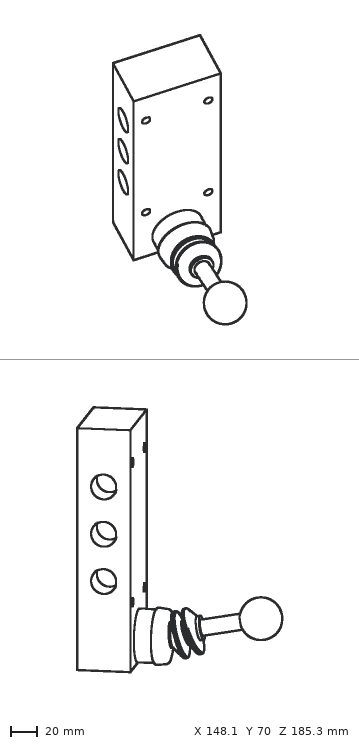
import cadquery as cq
import math


block_depth = 40.0
block_width = 70.0
block_height = 184.0

middle_height = 104.1
mount_diameter = 6.5
mount_spacing_y = 50.0
mount_spacing_z = 106.2
port_diameter = 18.9
port_depth = 24.0
port_pitch = 36.0
front_port_count = 3
rear_port_count = 2

sleeve_radius = 20.0
axis_height = sleeve_radius
collar_back = 52.8
collar_front = 63.7
collar_radius = 21.3
collar_taper = 0.7
collar_back_round = 1.9
collar_front_round = 2.6

lever_tilt = 11.0
lever_radius = 6.1
ball_radius = 16.0
ball_x = 132.1
ball_z = 36.5

valley_radius = 9.6
crest_radius = 18.0
cuff_radius = 9.0
valley_width = 1.3
crest_width = 3.0
crest_bevel = 0.7
cuff_width = 2.5
cuff_x = 86.5


def lever_height(x):
    """Height of the tilted lever axis at a given X."""
    return ball_z - (ball_x - x) * math.tan(math.radians(lever_tilt))


crest_outline = [
    (-crest_width / 2, crest_radius - crest_bevel),
    (crest_bevel - crest_width / 2, crest_radius),
    (crest_width / 2 - crest_bevel, crest_radius),
    (crest_width / 2, crest_radius - crest_bevel),
]
valley_outline = [(-valley_width / 2, valley_radius), (valley_width / 2, valley_radius)]
cuff_outline = [(-cuff_width / 2, cuff_radius), (cuff_width / 2, cuff_radius)]

bellows_bands = [
    (65.0, 21.5, 5.0, valley_outline),
    (71.5, 21.9, 16.5, crest_outline),
    (76.3, 23.5, 20.0, valley_outline),
    (81.0, 24.8, 22.5, crest_outline),
    (cuff_x, lever_height(cuff_x), lever_tilt, cuff_outline),
]


def direction(tilt):
    """Unit vector along +X, raised towards +Z by the tilt angle."""
    angle = math.radians(tilt)
    return cq.Vector(math.cos(angle), 0, math.sin(angle))


def make_block():
    return cq.Workplane("XY").box(
        block_depth, block_width, block_height, centered=(False, True, False)
    )


def make_mount_holes():
    return (
        cq.Workplane("YZ")
        .center(0, middle_height)
        .rarray(mount_spacing_y, mount_spacing_z, 2, 2)
        .circle(mount_diameter / 2)
        .extrude(block_depth)
    )


def make_ports(side, count):
    """Row of blind ports in the -Y (side = -1) or +Y (side = 1) face."""
    row = cq.Workplane("XY")
    for index in range(count):
        height = middle_height + (index - (count - 1) / 2) * port_pitch
        mouth = cq.Vector(block_depth / 2, side * block_width / 2, height)
        inward = cq.Vector(0, -side, 0)
        row = row.add(cq.Solid.makeCylinder(port_diameter / 2, port_depth, mouth, inward))
    return row.combine()


def make_sleeve():
    return (
        cq.Workplane("YZ", origin=(block_depth, 0, axis_height))
        .circle(sleeve_radius)
        .extrude(collar_back - block_depth)
    )


def make_collar():
    """Slightly tapered collar with rounded rims, revolved about the sleeve axis."""
    front_radius = collar_radius - collar_taper
    diagonal = math.sqrt(0.5)
    back_centre = (collar_back + collar_back_round, collar_radius - collar_back_round)
    front_centre = (collar_front - collar_front_round, front_radius - collar_front_round)
    back_middle = (
        back_centre[0] - collar_back_round * diagonal,
        back_centre[1] + collar_back_round * diagonal,
    )
    front_middle = (
        front_centre[0] + collar_front_round * diagonal,
        front_centre[1] + collar_front_round * diagonal,
    )
    return (
        cq.Workplane("XZ", origin=(0, 0, axis_height))
        .moveTo(collar_back, 0)
        .lineTo(collar_back, back_centre[1])
        .threePointArc(back_middle, (back_centre[0], collar_radius))
        .lineTo(front_centre[0], front_radius)
        .threePointArc(front_middle, (collar_front, front_centre[1]))
        .lineTo(collar_front, 0)
        .close()
        .revolve(360, (0, 0), (1, 0))
    )


def make_bellows():
    """Straight walls joining progressively tilted circles, ring by ring along the bands."""
    base_radius = collar_radius - collar_taper - collar_front_round
    base_centre = cq.Vector(collar_front, 0, axis_height)
    rings = [cq.Wire.makeCircle(base_radius, base_centre, direction(0))]
    for x, z, tilt, outline in bellows_bands:
        normal = direction(tilt)
        for offset, radius in outline:
            centre = cq.Vector(x, 0, z) + normal * offset
            rings.append(cq.Wire.makeCircle(radius, centre, normal))
    return cq.Workplane(cq.Solid.makeLoft(rings, True))


def make_lever():
    start = cq.Vector(cuff_x, 0, lever_height(cuff_x))
    ball_centre = cq.Vector(ball_x, 0, ball_z)
    length = (ball_centre - start).Length
    rod = cq.Solid.makeCylinder(lever_radius, length, start, direction(lever_tilt))
    ball = cq.Workplane("XY").sphere(ball_radius).translate(ball_centre)
    return ball.union(cq.Workplane(rod))


body = make_block().cut(make_mount_holes())
body = body.cut(make_ports(side=-1, count=front_port_count))
body = body.cut(make_ports(side=1, count=rear_port_count))
result = body.union(make_sleeve()).union(make_collar()).union(make_bellows()).union(make_lever())